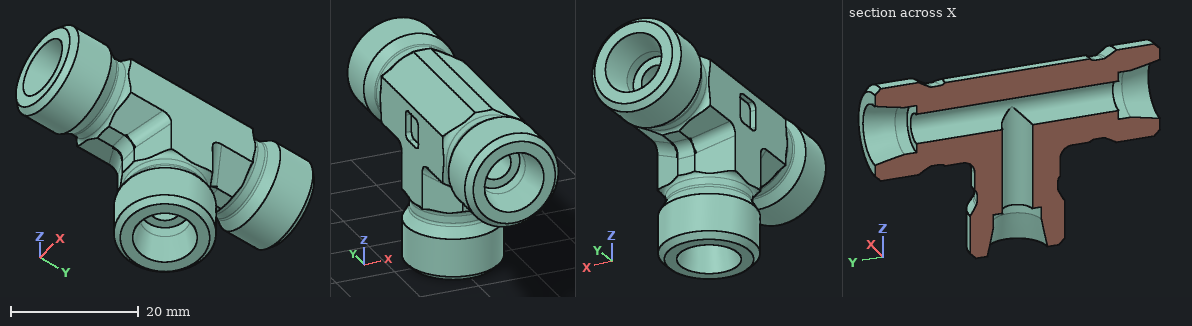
import cadquery as cq
import math

across_flats = 14.0
corner_flat_width = 3.0
crotch_radius = 2.0
shoulder_distance = 12.0
shoulder_fillet = 1.0

port_reach = 24.0
thread_radius = 16.0 / 2
thread_chamfer = 1.0
neck_radius = 13.7 / 2
runout_angle = 30.0
run_thread_start = 16.6
run_runout_fillet = 0.8
branch_thread_start = 16.5
branch_runout_fillet = 1.0

bore_radius = 5.0 / 2
tube_radius = 8.0 / 2
socket_mouth_radius = 10.1 / 2
socket_half_angle = 12.0
socket_depth = 7.0

recess_size = 5.0
recess_corner_radius = 1.0
recess_depth = 1.0

flat_distance = across_flats / 2
half_side = flat_distance * math.tan(math.radians(30))
half_corner_flat = corner_flat_width / 2
corner_flat_distance = 2 * half_side - half_corner_flat * math.tan(math.radians(30))
neck_start = shoulder_distance + shoulder_fillet

branch_turn = 180
run_turns = (90, -90)


def bar_section(plane):
    """Hexagon with flats facing +X and -X and its other two corners cut flat."""
    upper = [
        (flat_distance, half_side),
        (half_corner_flat, corner_flat_distance),
        (-half_corner_flat, corner_flat_distance),
        (-flat_distance, half_side),
    ]
    lower = [(-x, -y) for x, y in upper]
    return cq.Workplane(plane).polyline(upper + lower).close()


def is_crotch_edge(edge):
    """True for an edge lying in the mitre planes z = -|y| beside the branch."""
    tolerance = 0.01
    ends = (edge.startPoint(), edge.endPoint())
    in_mitre = all(abs(abs(point.y) + point.z) < tolerance for point in ends)
    return in_mitre and abs(edge.Center().y) > half_side


def tee_body():
    """Run bar along Y and branch bar down -Z, rounded where they meet."""
    run = bar_section("XZ").extrude(neck_start, both=True)
    branch = bar_section("XY").extrude(-neck_start)
    body = run.union(branch)
    crotch_edges = [edge for edge in body.edges().vals() if is_crotch_edge(edge)]
    return cq.Workplane(body.val().fillet(crotch_radius, crotch_edges))


def revolved_about_z(outline):
    """Solid of revolution about Z from an outline of (radius, height)."""
    return outline.close().revolve(360, (0, 0, 0), (0, 1, 0))


def shoulder_cutter():
    """Ring that shapes the end of a bar into a hollow rounding around the neck."""
    clear_radius = 2 * flat_distance
    mid_offset = shoulder_fillet * (1 - math.sqrt(0.5))
    outline = (
        cq.Workplane("XZ")
        .moveTo(neck_radius, neck_start)
        .threePointArc(
            (neck_radius + mid_offset, shoulder_distance + mid_offset),
            (neck_radius + shoulder_fillet, shoulder_distance),
        )
        .lineTo(clear_radius, shoulder_distance)
        .lineTo(clear_radius, neck_start)
    )
    return revolved_about_z(outline)


def threaded_end(thread_start, runout_fillet):
    """Neck, run-out cone and chamfered thread barrel along +Z."""
    slope = math.radians(runout_angle)
    cone_foot = thread_start - (thread_radius - neck_radius) / math.tan(slope)
    tangent = runout_fillet * math.tan(slope / 2)
    arc_start = cone_foot - tangent
    arc_end = (neck_radius + tangent * math.sin(slope), cone_foot + tangent * math.cos(slope))
    arc_mid = (
        neck_radius + runout_fillet * (1 - math.cos(slope / 2)),
        arc_start + runout_fillet * math.sin(slope / 2),
    )
    outline = (
        cq.Workplane("XZ")
        .lineTo(neck_radius, 0)
        .lineTo(neck_radius, arc_start)
        .threePointArc(arc_mid, arc_end)
        .lineTo(thread_radius, thread_start)
        .lineTo(thread_radius, port_reach - thread_chamfer)
        .lineTo(thread_radius - thread_chamfer, port_reach)
        .lineTo(0, port_reach)
    )
    return revolved_about_z(outline)


def socket_cutter():
    """Bore, tube seat and tapered mouth of one port, along +Z."""
    taper_length = (socket_mouth_radius - tube_radius) / math.tan(math.radians(socket_half_angle))
    seat = port_reach - socket_depth
    outline = (
        cq.Workplane("XZ")
        .lineTo(bore_radius, 0)
        .lineTo(bore_radius, seat)
        .lineTo(tube_radius, seat)
        .lineTo(tube_radius, port_reach - taper_length)
        .lineTo(socket_mouth_radius, port_reach)
        .lineTo(0, port_reach)
    )
    return revolved_about_z(outline)


def recess_cutter():
    """Shallow square pocket with rounded corners in the -X face."""
    return (
        cq.Workplane("YZ", origin=(-flat_distance, 0, 0))
        .rect(recess_size, recess_size)
        .extrude(recess_depth)
        .edges("|X")
        .fillet(recess_corner_radius)
    )


def onto_port(shape, turn):
    """Swing a shape built along +Z about the X axis onto a port."""
    return shape.rotate((0, 0, 0), (1, 0, 0), turn)


run_end = threaded_end(run_thread_start, run_runout_fillet)
branch_end = threaded_end(branch_thread_start, branch_runout_fillet)
port_turns = run_turns + (branch_turn,)

result = tee_body()
for turn in port_turns:
    result = result.cut(onto_port(shoulder_cutter(), turn))
for turn in run_turns:
    result = result.union(onto_port(run_end, turn))
result = result.union(onto_port(branch_end, branch_turn))
for turn in port_turns:
    result = result.cut(onto_port(socket_cutter(), turn))
result = result.cut(recess_cutter())